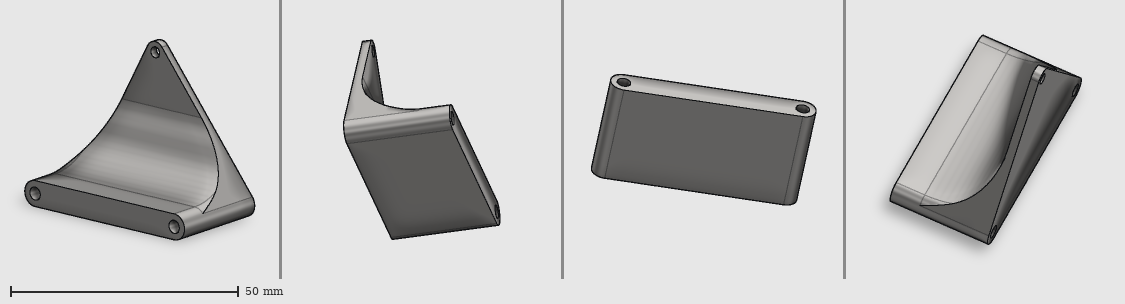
import cadquery as cq
import math

length = 46.0
depth = 24.0
height = 35.95
end_radius = 3.0
tip_radius = 2.5
tip_from_left_hole = 16.0
plate_thickness = 2.0
fillet_radius = 15.0
base_hole_diameter = 3.0
tip_hole_diameter = 2.5

left = (end_radius, end_radius)
right = (length - end_radius, end_radius)
tip = (end_radius + tip_from_left_hole, height - tip_radius)

plate_front = depth - plate_thickness
fillet_front = plate_front - fillet_radius
fillet_reach = end_radius + fillet_radius


def point_on_circle(center, radius, angle):
    return (center[0] + radius * math.cos(angle), center[1] + radius * math.sin(angle))


def tangent_normal_angle(start, start_circle_radius, end, end_circle_radius):
    """Direction of the normal on the right-hand side of the outer tangent from start to end."""
    dx = end[0] - start[0]
    dz = end[1] - start[1]
    lean = math.asin((start_circle_radius - end_circle_radius) / math.hypot(dx, dz))
    heading = math.atan2(dz, dx) % (2 * math.pi)
    return heading - math.pi / 2 + lean


def along_depth(y_front, y_back):
    """XZ workplane at y_front and the distance that extrudes it back to y_back."""
    return cq.Workplane("XZ", origin=(0, y_front, 0)), -(y_back - y_front)


def triangle(y_front):
    """Rounded triangle around the three hole centres, from y_front to the back."""
    right_angle = tangent_normal_angle(right, end_radius, tip, tip_radius)
    left_angle = tangent_normal_angle(tip, tip_radius, left, end_radius)
    plane, distance = along_depth(y_front, depth)
    return (
        plane.moveTo(left[0], 0)
        .lineTo(right[0], 0)
        .threePointArc(
            point_on_circle(right, end_radius, (right_angle - math.pi / 2) / 2),
            point_on_circle(right, end_radius, right_angle),
        )
        .lineTo(*point_on_circle(tip, tip_radius, right_angle))
        .threePointArc(
            point_on_circle(tip, tip_radius, (right_angle + left_angle) / 2),
            point_on_circle(tip, tip_radius, left_angle),
        )
        .lineTo(*point_on_circle(left, end_radius, left_angle))
        .threePointArc(
            point_on_circle(left, end_radius, (left_angle + 3 * math.pi / 2) / 2),
            (left[0], 0),
        )
        .close()
        .extrude(distance)
    )


def clearance_profile(workplane):
    """Section of the space above the concave fillet: distance from the hole axis against Y."""
    arc_offset = fillet_radius * math.sqrt(0.5)
    return (
        workplane.moveTo(end_radius, fillet_front)
        .threePointArc(
            (fillet_reach - arc_offset, fillet_front + arc_offset),
            (fillet_reach, plate_front),
        )
        .lineTo(height, plate_front)
        .lineTo(height, fillet_front)
        .close()
    )


def straight_clearance():
    """Space above the base between the two end holes."""
    plane = cq.Plane(origin=(left[0], 0, left[1]), xDir=(0, 0, 1), normal=(-1, 0, 0))
    return clearance_profile(cq.Workplane(plane)).extrude(-(right[0] - left[0]))


def flared_clearance(center, outward):
    """Quarter turn of the same space around an end hole; outward is -1 at the left, 1 at the right."""
    plane = cq.Plane(origin=(center[0], 0, center[1]), xDir=(outward, 0, 0), normal=(0, 0, outward))
    quarter_turn = 90
    return clearance_profile(cq.Workplane(plane)).revolve(quarter_turn, (0, 0), (0, -outward))


def base_bar():
    """Round-ended bar in front of the fillet."""
    plane, distance = along_depth(0, fillet_front)
    return (
        plane.center(length / 2, end_radius)
        .slot2D(length, 2 * end_radius)
        .extrude(distance)
    )


def hole(center, diameter):
    plane, distance = along_depth(0, depth)
    return plane.center(*center).circle(diameter / 2).extrude(distance)


body = triangle(fillet_front)
body = body.cut(straight_clearance())
body = body.cut(flared_clearance(left, -1))
body = body.cut(flared_clearance(right, 1))

result = body.union(base_bar()).clean()
for center, diameter in (
    (left, base_hole_diameter),
    (right, base_hole_diameter),
    (tip, tip_hole_diameter),
):
    result = result.cut(hole(center, diameter))